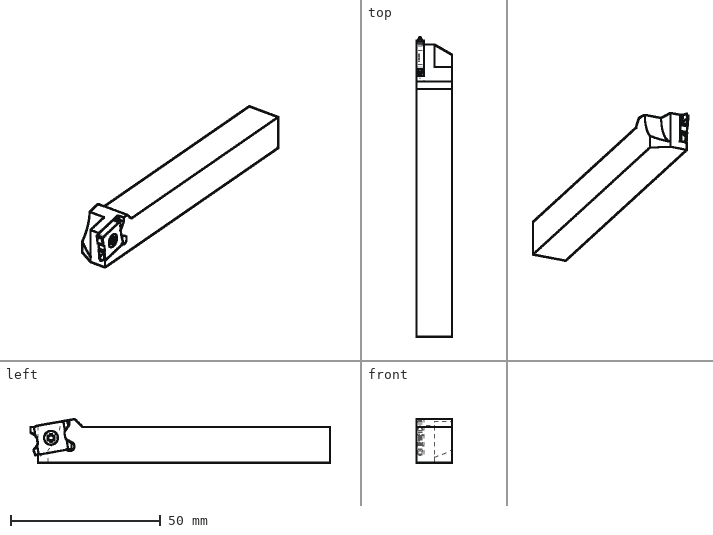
import cadquery as cq
import math


TOOL_LENGTH = 100.0
SHANK_SIZE = 12.0
TIP_OVERHANG = 2.5
HOLDER_LENGTH = TOOL_LENGTH - TIP_OVERHANG

HEAD_TILT = 10.0
PEAK_HEIGHT = 14.6
PEAK_Y = TOOL_LENGTH - 14.8
RAMP_START_Y = PEAK_Y - (PEAK_HEIGHT - SHANK_SIZE)
HEAD_FRONT_HEIGHT = PEAK_HEIGHT - (HOLDER_LENGTH - PEAK_Y) * math.tan(math.radians(HEAD_TILT))

CLEARANCE_X = SHANK_SIZE / 2
CHAMFER_ANGLE = 30.0
SCOOP_REAR_Y = TOOL_LENGTH - 10.1
SCOOP_RADIUS = 14.0
SCOOP_STEEP = 88.0

INSERT_LENGTH = 10.0
INSERT_HEIGHT = 9.6
INSERT_THICKNESS = 2.5
SCREW_Y = TOOL_LENGTH - 6.9
SCREW_Z = 8.3
WAIST_DEPTH = 0.3
WAIST_FLOOR = 2.0
WAIST_MOUTH = 2.8

TOOTH_ANGLE = 55.0
TOOTH_NOSE_RADIUS = 0.1
TOOTH_FLANK = 1.9
TOOTH_ROOT = 2.0
TOOTH_ROOT_DROP = 3.1
RAKE_LENGTH = 1.5
RAKE_STEP_LENGTH = 2.3
RAKE_STEP_RISE = 0.4

RELIEF_START = (INSERT_LENGTH / 2, WAIST_MOUTH / 2)
RELIEF_CORNER = (6.9, 3.4)
BORE_CENTRE = (5.7, 3.9)
BORE_RADIUS = 1.5
POCKET_RUNOUT = 2.0

SCREW_DIAMETER = 4.6
SOCKET_DEPTH = 1.0
SOCKET_CORE_RADIUS = 0.85
LOBE_COUNT = 6
LOBE_RADIUS = 0.35
LOBE_PITCH_RADIUS = 1.0


def tilt(shape):
    """Move a shape from the screw-axis frame to its tilted place in the tool."""
    return shape.rotate((0, 0, 0), (1, 0, 0), -HEAD_TILT).translate((0, SCREW_Y, SCREW_Z))


def untilt(shape):
    """Move a shape from its place in the tool to the screw-axis frame."""
    return shape.translate((0, -SCREW_Y, -SCREW_Z)).rotate((0, 0, 0), (1, 0, 0), HEAD_TILT)


def plate(points, thickness):
    """Extrude a Y-Z outline along X from X = 0."""
    return cq.Workplane("YZ").polyline(points).close().extrude(thickness)


def mirrored_corners(shape):
    """Copies of a corner shape at all four corners of the insert."""
    lower = shape.mirror("XY")
    return [shape, lower, shape.mirror("XZ"), lower.mirror("XZ")]


def tooth():
    """Upper front tooth: a pointed wedge with a sloping underside."""
    half_angle = math.radians(TOOTH_ANGLE / 2)
    point_y = TOOL_LENGTH + TOOTH_NOSE_RADIUS * (1 / math.sin(half_angle) - 1)
    root_y = TOOL_LENGTH - TOOTH_ROOT
    half_width = (point_y - root_y) * math.tan(half_angle)
    middle = INSERT_THICKNESS / 2
    wedge = (
        cq.Workplane("XY")
        .polyline([(middle - half_width, root_y), (middle + half_width, root_y), (middle, point_y)])
        .close()
        .extrude(SHANK_SIZE)
        .edges("|Z and >Y")
        .fillet(TOOTH_NOSE_RADIUS)
    )
    side = plate(
        [
            (TOOL_LENGTH, SHANK_SIZE),
            (TOOL_LENGTH, SHANK_SIZE - TOOTH_FLANK),
            (root_y, SHANK_SIZE - TOOTH_ROOT_DROP),
            (root_y, SHANK_SIZE),
        ],
        INSERT_THICKNESS,
    )
    return untilt(wedge.intersect(side))


def rake_notch():
    """Material removed above the rake face of the upper front tooth."""
    step_top = SHANK_SIZE + RAKE_STEP_RISE
    return untilt(
        plate(
            [
                (TOOL_LENGTH, SHANK_SIZE),
                (TOOL_LENGTH - RAKE_LENGTH, SHANK_SIZE),
                (TOOL_LENGTH - RAKE_STEP_LENGTH, step_top),
                (TOOL_LENGTH, step_top),
            ],
            INSERT_THICKNESS,
        )
    )


def make_insert_blank():
    """Insert without its screw hole, about the screw axis."""
    end = INSERT_LENGTH / 2
    waist = plate(
        [
            (end, WAIST_MOUTH / 2),
            (end - WAIST_DEPTH, WAIST_FLOOR / 2),
            (end - WAIST_DEPTH, -WAIST_FLOOR / 2),
            (end, -WAIST_MOUTH / 2),
        ],
        INSERT_THICKNESS,
    )
    blank = cq.Workplane("YZ").rect(INSERT_LENGTH, INSERT_HEIGHT).extrude(INSERT_THICKNESS)
    blank = blank.cut(waist).cut(waist.mirror("XZ"))
    for notch in mirrored_corners(rake_notch()):
        blank = blank.cut(notch)
    for corner_tooth in mirrored_corners(tooth()):
        blank = blank.union(corner_tooth)
    return blank


def make_insert():
    hole = cq.Workplane("YZ").circle(SCREW_DIAMETER / 2).extrude(INSERT_THICKNESS)
    return tilt(make_insert_blank().cut(hole))


def make_screw():
    """Screw head flush with the insert, with a six-lobed socket."""
    screw = cq.Workplane("YZ").circle(SCREW_DIAMETER / 2).extrude(INSERT_THICKNESS)
    socket = cq.Workplane("YZ").circle(SOCKET_CORE_RADIUS).extrude(SOCKET_DEPTH)
    lobes = (
        cq.Workplane("YZ")
        .polarArray(LOBE_PITCH_RADIUS, 90 + HEAD_TILT, 360, LOBE_COUNT)
        .circle(LOBE_RADIUS)
        .extrude(SOCKET_DEPTH)
    )
    return tilt(screw.cut(socket.union(lobes)))


def make_pocket():
    """Seat that fits the rear of the insert, open at the front and top, with the tooth reliefs."""
    end = INSERT_LENGTH / 2
    top = INSERT_HEIGHT / 2
    floor_end = end - WAIST_DEPTH
    seat = plate(
        [
            (end + POCKET_RUNOUT, -top),
            (-end, -top),
            (-end, -WAIST_MOUTH / 2),
            (-floor_end, -WAIST_FLOOR / 2),
            (-floor_end, WAIST_FLOOR / 2),
            (-end, WAIST_MOUTH / 2),
            (-end, top + POCKET_RUNOUT),
            (end + POCKET_RUNOUT, top + POCKET_RUNOUT),
        ],
        INSERT_THICKNESS,
    )
    return tilt(seat.union(upper_relief()).union(lower_relief()))


def upper_relief():
    """Relief behind the upper rear tooth, open at the top of the head."""
    start_y, start_z = RELIEF_START
    corner_y, corner_z = RELIEF_CORNER
    top = INSERT_HEIGHT / 2 + POCKET_RUNOUT
    lean = (top - corner_z) * math.tan(math.radians(HEAD_TILT))
    return plate(
        [(-start_y, start_z), (-corner_y, corner_z), (-corner_y - lean, top), (-start_y, top)],
        INSERT_THICKNESS,
    )


def lower_relief():
    """Round relief behind the lower rear tooth, joined to the seat by a tangent flank."""
    start_y, start_z = RELIEF_START
    bore_y, bore_z = BORE_CENTRE
    span_y = bore_y - start_y
    span_z = bore_z - start_z
    reach = math.hypot(span_y, span_z)
    angle = math.atan2(span_z, span_y) - math.asin(BORE_RADIUS / reach)
    flank = math.sqrt(reach**2 - BORE_RADIUS**2)
    touch = (start_y + flank * math.cos(angle), start_z + flank * math.sin(angle))
    bore = (
        cq.Workplane("YZ")
        .center(-bore_y, -bore_z)
        .circle(BORE_RADIUS)
        .extrude(INSERT_THICKNESS)
    )
    web = plate(
        [(-start_y, -start_z), (-touch[0], -touch[1]), (-bore_y, -bore_z), (-start_y, -bore_z)],
        INSERT_THICKNESS,
    )
    return bore.union(web)


def make_front_chamfer():
    """Vertical chamfer across the +X front corner."""
    width = SHANK_SIZE - CLEARANCE_X
    setback = width * math.tan(math.radians(CHAMFER_ANGLE))
    return (
        cq.Workplane("XY")
        .polyline(
            [
                (CLEARANCE_X, HOLDER_LENGTH),
                (SHANK_SIZE, HOLDER_LENGTH),
                (SHANK_SIZE, HOLDER_LENGTH - setback),
            ]
        )
        .close()
        .extrude(PEAK_HEIGHT)
    )


def make_scoop():
    """Concave cylindrical scoop in the top of the head, on the +X side."""
    steep = math.radians(SCOOP_STEEP)
    rear_z = PEAK_HEIGHT - (SCOOP_REAR_Y - PEAK_Y) * math.tan(math.radians(HEAD_TILT))
    centre_y = SCOOP_REAR_Y + SCOOP_RADIUS * math.sin(steep)
    centre_z = rear_z + SCOOP_RADIUS * math.cos(steep)
    return (
        cq.Workplane("YZ", origin=(CLEARANCE_X, 0, 0))
        .center(centre_y, centre_z)
        .circle(SCOOP_RADIUS)
        .extrude(SHANK_SIZE - CLEARANCE_X)
    )


def make_holder():
    body = plate(
        [
            (0, 0),
            (HOLDER_LENGTH, 0),
            (HOLDER_LENGTH, HEAD_FRONT_HEIGHT),
            (PEAK_Y, PEAK_HEIGHT),
            (RAMP_START_Y, SHANK_SIZE),
            (0, SHANK_SIZE),
        ],
        SHANK_SIZE,
    )
    return body.cut(make_front_chamfer()).cut(make_scoop()).cut(make_pocket())


holder = make_holder()
insert = make_insert()
screw = make_screw()

result = cq.Compound.makeCompound([holder.val(), insert.val(), screw.val()])